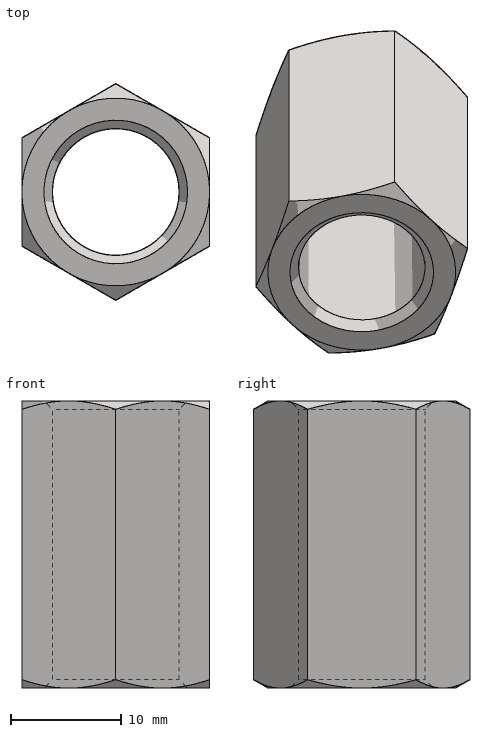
import cadquery as cq
import math

hexagon_sides = 6
across_flats = 17.0
length = 26.0
bore_diameter = 11.445
countersink_diameter = 13.0
corner_chamfer_angle = 30.0
countersink_angle = 90.0

half_side_angle = 180.0 / hexagon_sides
across_corners = across_flats / math.cos(math.radians(half_side_angle))
flat_radius = across_flats / 2
corner_radius = across_corners / 2
chamfer_drop = (corner_radius - flat_radius) * math.tan(math.radians(corner_chamfer_angle))
bore_radius = bore_diameter / 2
countersink_radius = countersink_diameter / 2
countersink_depth = (countersink_radius - bore_radius) / math.tan(math.radians(countersink_angle / 2))


def revolve_about_z(profile_points):
    """Revolve a closed (radius, height) profile about the Z axis."""
    return cq.Workplane("XZ").polyline(profile_points).close().revolve(360, (0, 0), (0, 1))


def hexagonal_bar():
    """Hexagonal prism with two flats facing +X and -X."""
    hexagon = cq.Workplane("XY").polygon(hexagon_sides, across_corners).extrude(length)
    return hexagon.rotate((0, 0, 0), (0, 0, 1), half_side_angle)


def chamfered_envelope():
    """Round bar with coned ends; it trims the hexagon corners at both ends."""
    return revolve_about_z([
        (0, 0),
        (flat_radius, 0),
        (corner_radius, chamfer_drop),
        (corner_radius, length - chamfer_drop),
        (flat_radius, length),
        (0, length),
    ])


def countersunk_bore():
    """Through bore with a countersink at each end."""
    return revolve_about_z([
        (0, 0),
        (countersink_radius, 0),
        (bore_radius, countersink_depth),
        (bore_radius, length - countersink_depth),
        (countersink_radius, length),
        (0, length),
    ])


result = hexagonal_bar().intersect(chamfered_envelope()).cut(countersunk_bore())